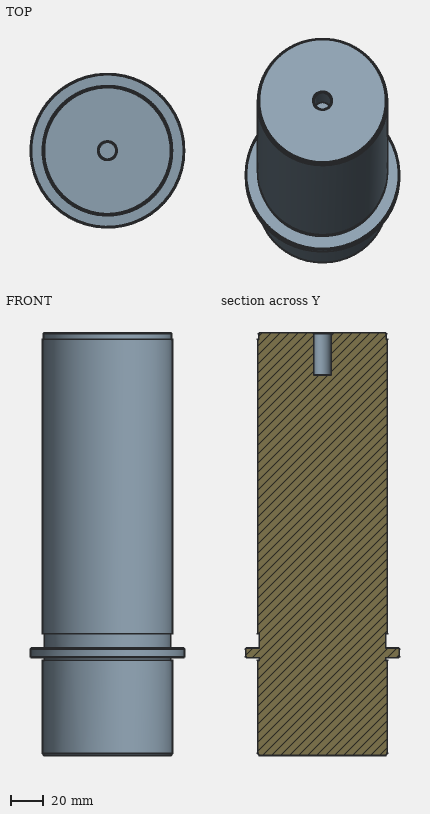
import cadquery as cq

total_height = 260.0
body_radius = 40.0
flange_radius = 47.45

lower_body_top = 58.5
flange_bottom = 60.0
flange_top = 66.3
neck_top = 75.0

neck_radius = 39.0
relief_radius = 39.0
pilot_radius = 39.5
pilot_height = 4.2

base_chamfer_width = 1.0
base_chamfer_height = 1.5
top_chamfer = 0.8
flange_chamfer = 0.8

hole_radius = 5.2
hole_depth = 26.0
hole_chamfer = 0.8


def make_shaft():
    """Revolve the stepped half profile about the Z axis."""
    pilot_bottom = total_height - pilot_height
    outline = [
        (0, 0),
        (body_radius - base_chamfer_width, 0),
        (body_radius, base_chamfer_height),
        (body_radius, lower_body_top),
        (relief_radius, lower_body_top),
        (relief_radius, flange_bottom),
        (flange_radius - flange_chamfer, flange_bottom),
        (flange_radius, flange_bottom + flange_chamfer),
        (flange_radius, flange_top - flange_chamfer),
        (flange_radius - flange_chamfer, flange_top),
        (neck_radius, flange_top),
        (neck_radius, neck_top),
        (body_radius, neck_top),
        (body_radius, pilot_bottom),
        (pilot_radius, pilot_bottom),
        (pilot_radius, total_height - top_chamfer),
        (pilot_radius - top_chamfer, total_height),
        (0, total_height),
    ]
    profile = cq.Workplane("XZ").polyline(outline).close()
    return profile.revolve(360, (0, 0, 0), (0, 1, 0))


def make_centre_hole():
    """Blind hole with a countersunk mouth, as a solid to be cut away."""
    hole_bottom = total_height - hole_depth
    outline = [
        (0, hole_bottom),
        (hole_radius, hole_bottom),
        (hole_radius, total_height - hole_chamfer),
        (hole_radius + hole_chamfer, total_height),
        (0, total_height),
    ]
    profile = cq.Workplane("XZ").polyline(outline).close()
    return profile.revolve(360, (0, 0, 0), (0, 1, 0))


result = make_shaft().cut(make_centre_hole())